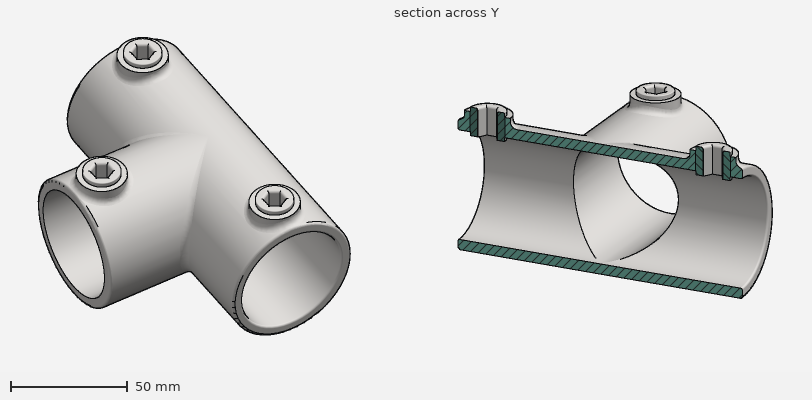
import cadquery as cq
import math

run_length = 136.0
branch_reach = 68.0
tube_radius = 29.9
bore_radius = 25.0
rim_round = 1.2
run_bore_round = 1.0
junction_round = 3.0

boss_radius = 11.0
boss_top = 34.5
boss_round = 3.0
boss_inset = 14.1

screw_radius = 8.3
screw_top = 36.6
screw_bottom = 23.3
screw_edge_round = 0.4
socket_flats = 8.0
socket_mouth_round = 1.2

run_end_x = run_length / 2
boss_places = [
    (boss_inset - run_end_x, 0),
    (run_end_x - boss_inset, 0),
    (0, boss_inset - branch_reach),
]
tolerance = 0.01


def tee_shape(radius):
    """Run and branch cylinders of one radius, joined."""
    run = cq.Workplane("YZ").circle(radius).extrude(run_end_x, both=True)
    branch = cq.Workplane("XZ").circle(radius).extrude(branch_reach)
    return run.union(branch)


def columns(radius, top):
    """One upright cylinder per screw place, from the tube axes up to a height."""
    return cq.Workplane("XY").pushPoints(boss_places).circle(radius).extrude(top)


def is_boss_root(edge):
    """True for the saddle curve where a boss wall meets its tube."""
    box = edge.BoundingBox()
    middle = edge.positionAt(0.5)
    on_wall = any(
        abs(math.hypot(middle.x - x, middle.y - y) - boss_radius) < tolerance
        for x, y in boss_places
    )
    is_level = box.zmax - box.zmin < tolerance
    return on_wall and not is_level and edge.geomType() != "LINE"


def fillet_edges(body, edges, radius):
    return cq.Workplane(body.val().fillet(radius, edges))


def make_tee():
    tee = tee_shape(tube_radius)
    tee = fillet_edges(tee, tee.edges("%ELLIPSE").vals(), junction_round)

    tee = tee.union(columns(boss_radius, boss_top))
    tee = fillet_edges(tee, [edge for edge in tee.edges().vals() if is_boss_root(edge)], boss_round)

    rims = [edge for end in ("<X", ">X", "<Y") for edge in tee.faces(end).edges().vals()]
    tee = fillet_edges(tee, rims, rim_round)

    tee = tee.cut(tee_shape(bore_radius)).cut(columns(screw_radius, boss_top))

    mouths = [
        edge
        for end in ("<X", ">X")
        for edge in tee.faces(end).edges("%CIRCLE").vals()
        if abs(edge.radius() - bore_radius) < tolerance
    ]
    return fillet_edges(tee, mouths, run_bore_round)


def make_screw(x, y):
    """Set screw with a hexagon socket right through it and a rounded socket mouth."""
    socket_corners = socket_flats / math.cos(math.pi / 6)
    return (
        cq.Workplane("XY", origin=(x, y, screw_bottom))
        .circle(screw_radius)
        .extrude(screw_top - screw_bottom)
        .faces("<Z or >Z")
        .edges()
        .fillet(screw_edge_round)
        .faces(">Z")
        .workplane()
        .polygon(6, socket_corners)
        .cutThruAll()
        .faces(">Z")
        .edges("not %CIRCLE")
        .fillet(socket_mouth_round)
    )


tee = make_tee()
screws = [make_screw(x, y) for x, y in boss_places]

result = cq.Compound.makeCompound([tee.val(), *[screw.val() for screw in screws]])